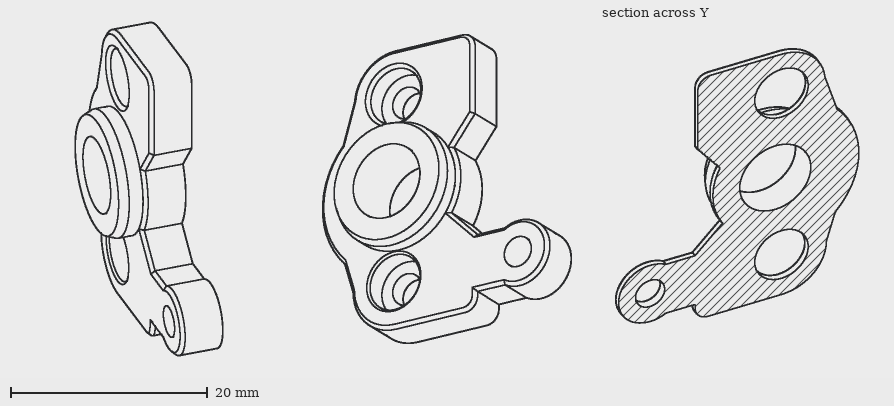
import cadquery as cq
import math


plate_thickness = 4.5
edge_chamfer = 0.4
top_z = 15.47
bottom_z = -15.12
upper_right_x = 8.8
lower_right_x = 9.1
corner_radius = 1.5

hub_left_radius = 9.5
hub_right_radius = 7.1
hub_left_upper_z = 6.4
hub_left_lower_z = -6.6
hub_right_upper_z = 3.3
hub_right_lower_z = -3.8
upper_flank_z = 6.5

boss_diameter = 13.38
boss_height = 2.5
boss_chamfer_length = 1.0
boss_chamfer_width = 0.4
bore_diameter = 8.0

screw_x = -0.7
upper_screw_z = 10.5
lower_screw_z = -10.0
screw_diameter = 3.4
counterbore_diameter = 6.0
counterbore_depth = 2.5
upper_counterbore_chamfer = 0.4
lower_counterbore_chamfer = 0.25
upper_lobe_radius = top_z - upper_screw_z
lower_lobe_radius = lower_screw_z - bottom_z
upper_lobe_end_z = 10.9

ear_x = 14.18
ear_z = lower_screw_z
ear_radius = 3.6
ear_hole_diameter = 3.25
arm_half_width = 3.13


def circle_point(center, radius, angle):
    """Point on a circle at an angle in radians, measured from +X toward +Z."""
    return (center[0] + radius * math.cos(angle), center[1] + radius * math.sin(angle))


def point_at_height(center, radius, z, side):
    """Point on a circle at height z, on its left (side = -1) or right (side = 1)."""
    rise = z - center[1]
    return (center[0] + side * math.sqrt(radius**2 - rise**2), z)


def front_plane(y):
    """XZ plane at the given Y, with its normal toward -Y."""
    return cq.Workplane("XZ", origin=(0, y, 0))


def make_plate():
    hub = (0, 0)
    upper_lobe = (screw_x, upper_screw_z)
    lower_lobe = (screw_x, lower_screw_z)
    ear = (ear_x, ear_z)

    upper_lobe_end = point_at_height(upper_lobe, upper_lobe_radius, upper_lobe_end_z, -1)
    arm_top_z = ear_z + arm_half_width
    arm_bottom_z = ear_z - arm_half_width
    corner_bulge = corner_radius * (1 - math.sqrt(0.5))

    outline = (
        front_plane(0)
        .moveTo(screw_x, top_z)
        .lineTo(upper_right_x - corner_radius, top_z)
        .threePointArc(
            (upper_right_x - corner_bulge, top_z - corner_bulge),
            (upper_right_x, top_z - corner_radius),
        )
        .lineTo(upper_right_x, upper_flank_z)
        .lineTo(*point_at_height(hub, hub_right_radius, hub_right_upper_z, 1))
        .threePointArc(
            (hub_right_radius, 0),
            point_at_height(hub, hub_right_radius, hub_right_lower_z, 1),
        )
        .lineTo(lower_right_x, arm_top_z)
        .lineTo(*point_at_height(ear, ear_radius, arm_top_z, -1))
        .threePointArc(
            (ear_x + ear_radius, ear_z),
            point_at_height(ear, ear_radius, arm_bottom_z, -1),
        )
        .lineTo(lower_right_x, arm_bottom_z)
        .lineTo(lower_right_x, bottom_z + corner_radius)
        .threePointArc(
            (lower_right_x - corner_bulge, bottom_z + corner_bulge),
            (lower_right_x - corner_radius, bottom_z),
        )
        .lineTo(screw_x, bottom_z)
        .threePointArc(
            circle_point(lower_lobe, lower_lobe_radius, math.radians(225)),
            (screw_x - lower_lobe_radius, lower_screw_z),
        )
        .lineTo(*point_at_height(hub, hub_left_radius, hub_left_lower_z, -1))
        .threePointArc(
            (-hub_left_radius, 0),
            point_at_height(hub, hub_left_radius, hub_left_upper_z, -1),
        )
        .lineTo(*upper_lobe_end)
        .threePointArc(
            circle_point(upper_lobe, upper_lobe_radius, math.radians(135)),
            (screw_x, top_z),
        )
        .close()
    )
    return outline.extrude(plate_thickness).faces("<Y").chamfer(edge_chamfer)


def make_boss():
    boss = front_plane(0).circle(boss_diameter / 2).extrude(plate_thickness + boss_height)
    return boss.faces("<Y").chamfer(boss_chamfer_length, boss_chamfer_width)


def through_hole(x, z, diameter):
    return front_plane(0).center(x, z).circle(diameter / 2).extrude(plate_thickness + boss_height)


def screw_hole(z, rim_chamfer):
    """Through hole with a counterbore whose rim is chamfered."""
    floor_y = counterbore_depth - plate_thickness
    counterbore = (
        front_plane(floor_y)
        .center(screw_x, z)
        .circle(counterbore_diameter / 2)
        .extrude(counterbore_depth)
    )
    rim = (
        front_plane(-plate_thickness)
        .center(screw_x, z)
        .circle(counterbore_diameter / 2 + rim_chamfer)
        .workplane(offset=-rim_chamfer)
        .circle(counterbore_diameter / 2)
        .loft()
    )
    return through_hole(screw_x, z, screw_diameter).union(counterbore).union(rim)


result = (
    make_plate()
    .cut(screw_hole(upper_screw_z, upper_counterbore_chamfer))
    .cut(screw_hole(lower_screw_z, lower_counterbore_chamfer))
    .cut(through_hole(ear_x, ear_z, ear_hole_diameter))
    .union(make_boss())
    .cut(through_hole(0, 0, bore_diameter))
)